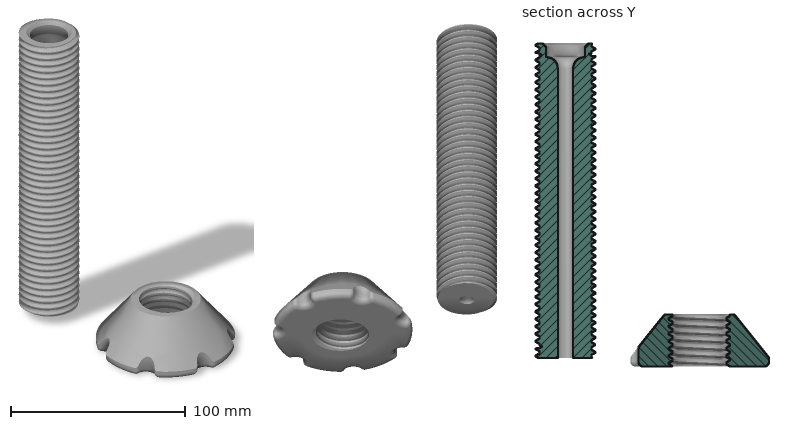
import cadquery as cq
import math

PITCH = 25.4 / 6
FLANK_SLOPE = math.tan(math.radians(30))

LEVEL_TOLERANCE = 0.001

SCREW_LENGTH = 180.0
SCREW_MAJOR_RADIUS = 34.69 / 2
SCREW_ROOT_RADIUS = 29.89 / 2
SCREW_CREST_WIDTH = PITCH / 8
SCREW_CREST_ANGLE = 82.0
BORE_RADIUS = 8.5 / 2
SOCKET_RADIUS = 22.0 / 2
SOCKET_DEPTH = 7.7
SOCKET_CHAMFER = 2.0

NUT_RADIUS = 40.0
NUT_TOP_RADIUS = 20.0
NUT_BASE_Z = -5.0
NUT_RIM_Z = 0.0
NUT_TOP_Z = 25.0
NUT_HEIGHT = NUT_TOP_Z - NUT_BASE_Z
NUT_BASE_FILLET = 3.0
NUT_X = 76.645
NUT_MAJOR_RADIUS = 34.92 / 2
NUT_MINOR_RADIUS = 30.6 / 2
NUT_GROOVE_WIDTH = PITCH / 8
NUT_GROOVE_ANGLE = 14.0

NOTCH_COUNT = 7
NOTCH_RADIUS = 5.0
NOTCH_CORNER_RADIUS = 2.0
FIRST_NOTCH_ANGLE = 180.0


def threaded_rod(root_radius, major_radius, crest_width, length, crest_angle):
    """Threaded rod with flat ends, standing on the XY plane with its axis on Z."""
    half_crest = crest_width / 2
    half_foot = half_crest + (major_radius - root_radius) * FLANK_SLOPE
    profile = [
        (root_radius, -half_foot),
        (major_radius, -half_crest),
        (major_radius, half_crest),
        (root_radius, half_foot),
        (root_radius, PITCH - half_foot),
    ]

    helix_length = PITCH * (math.ceil(length / PITCH) + 3)
    start_z = -PITCH * (1 + crest_angle / 360)
    helices = [
        cq.Wire.makeHelix(PITCH, helix_length, radius, cq.Vector(0, 0, start_z + height)).Edges()[0]
        for radius, height in profile
    ]
    bands = [cq.Face.makeRuledSurface(lower, upper) for lower, upper in zip(helices, helices[1:])]

    envelope = cq.Solid.makeCylinder(2 * major_radius, length)
    sides = [face for band in bands for face in band.intersect(envelope).Faces()]
    ends = [flat_face(sides, z) for z in (0, length)]
    return cq.Workplane(cq.Solid.makeSolid(cq.Shell.makeShell(sides + ends)))


def flat_face(sides, z):
    """Level face bounded by those edges of the sides that lie at height z."""
    rim = []
    for edge in (edge for face in sides for edge in face.Edges()):
        box = edge.BoundingBox()
        if max(abs(box.zmin - z), abs(box.zmax - z)) < LEVEL_TOLERANCE:
            rim.append(edge)
    return cq.Face.makeFromWires(cq.Wire.assembleEdges(rim))


def make_screw():
    rod = threaded_rod(
        SCREW_ROOT_RADIUS, SCREW_MAJOR_RADIUS, SCREW_CREST_WIDTH, SCREW_LENGTH, SCREW_CREST_ANGLE
    )
    flare_radius = SOCKET_RADIUS - BORE_RADIUS
    floor_z = SCREW_LENGTH - SOCKET_DEPTH
    flare_z = floor_z - flare_radius
    flare_middle = flare_radius * math.sin(math.radians(45))
    hollow = (
        cq.Workplane("XZ")
        .lineTo(BORE_RADIUS, 0)
        .lineTo(BORE_RADIUS, flare_z)
        .threePointArc(
            (SOCKET_RADIUS - flare_middle, flare_z + flare_middle), (SOCKET_RADIUS, floor_z)
        )
        .lineTo(SOCKET_RADIUS, SCREW_LENGTH - SOCKET_CHAMFER)
        .lineTo(SOCKET_RADIUS + SOCKET_CHAMFER, SCREW_LENGTH)
        .lineTo(0, SCREW_LENGTH)
        .close()
        .revolve(360, (0, 0), (0, 1))
    )
    sides = "not(<Z or >Z)"
    end_rings = [
        cq.Face.makeFromWires(rod.faces(end).val().outerWire(), [hollow.faces(end).val().outerWire()])
        for end in ("<Z", ">Z")
    ]
    shell = cq.Shell.makeShell([*rod.faces(sides).vals(), *hollow.faces(sides).vals(), *end_rings])
    return cq.Workplane(cq.Solid.makeSolid(shell))


def make_nut():
    base = cq.Workplane("XY").transformed(offset=(NUT_X, 0, NUT_BASE_Z), rotate=(0, 0, FIRST_NOTCH_ANGLE))
    notches = base.polarArray(NUT_RADIUS, 0, 360, NOTCH_COUNT).circle(NOTCH_RADIUS).extrude(NUT_HEIGHT)
    disc = base.circle(NUT_RADIUS).extrude(NUT_HEIGHT).cut(notches)
    disc = disc.edges("|Z").fillet(NOTCH_CORNER_RADIUS)
    disc = disc.faces("<Z").edges().fillet(NUT_BASE_FILLET)

    cone_slope = (NUT_RADIUS - NUT_TOP_RADIUS) / (NUT_TOP_Z - NUT_RIM_Z)
    cone_base_radius = NUT_TOP_RADIUS + cone_slope * NUT_HEIGHT
    cone = cq.Workplane(
        cq.Solid.makeCone(cone_base_radius, NUT_TOP_RADIUS, NUT_HEIGHT, cq.Vector(NUT_X, 0, NUT_BASE_Z))
    )

    thread = threaded_rod(
        NUT_MINOR_RADIUS, NUT_MAJOR_RADIUS, NUT_GROOVE_WIDTH, NUT_HEIGHT, NUT_GROOVE_ANGLE
    ).translate((NUT_X, 0, NUT_BASE_Z))
    return disc.intersect(cone).cut(thread)


screw = make_screw()
nut = make_nut()
result = cq.Compound.makeCompound([screw.val(), nut.val()])